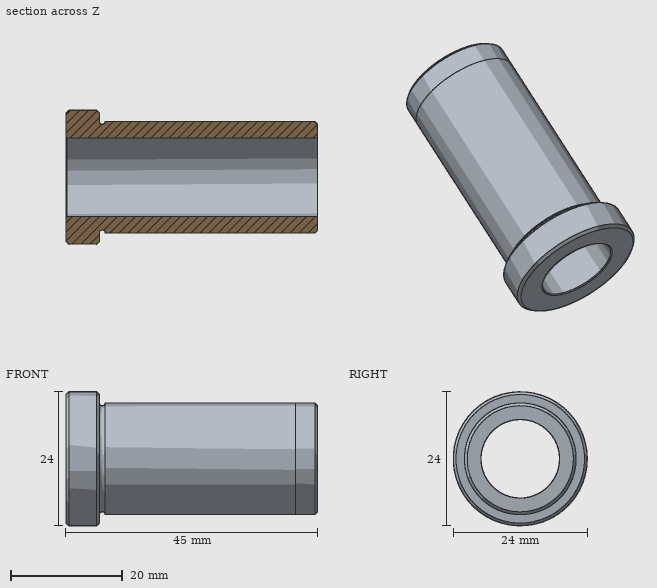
import cadquery as cq

total_length = 45.0
head_length = 6.0
head_radius = 24.0 / 2
body_radius = 20.0 / 2
bore_radius = 14.0 / 2
edge_chamfer = 0.5
bore_chamfer = 0.2

lead_in_clearance = 0.01
lead_in_radius = body_radius - lead_in_clearance
lead_in_length = 4.0
lead_in_start = total_length - lead_in_length

undercut_width = 1.0
undercut_depth = 0.5
undercut_rim_depth = 0.2
undercut_end = head_length + undercut_width
undercut_middle = head_length + undercut_width / 2


def make_outer_body():
    """Revolve the solid outline of head, undercut, body and lead-in about X."""
    profile = (
        cq.Workplane("XY")
        .lineTo(0, head_radius - edge_chamfer)
        .lineTo(edge_chamfer, head_radius)
        .lineTo(head_length - edge_chamfer, head_radius)
        .lineTo(head_length, head_radius - edge_chamfer)
        .lineTo(head_length, body_radius - undercut_rim_depth)
        .threePointArc(
            (undercut_middle, body_radius - undercut_depth),
            (undercut_end, body_radius - undercut_rim_depth),
        )
        .lineTo(undercut_end, body_radius)
        .lineTo(lead_in_start, body_radius)
        .lineTo(lead_in_start, lead_in_radius)
        .lineTo(total_length - edge_chamfer, lead_in_radius)
        .lineTo(total_length, lead_in_radius - edge_chamfer)
        .lineTo(total_length, 0)
        .close()
    )
    return profile.revolve(360, (0, 0, 0), (1, 0, 0))


def make_bore():
    """Revolve the through bore with its chamfered mouth in the head face."""
    profile = (
        cq.Workplane("XY")
        .lineTo(0, bore_radius + bore_chamfer)
        .lineTo(bore_chamfer, bore_radius)
        .lineTo(total_length, bore_radius)
        .lineTo(total_length, 0)
        .close()
    )
    return profile.revolve(360, (0, 0, 0), (1, 0, 0))


result = make_outer_body().cut(make_bore())